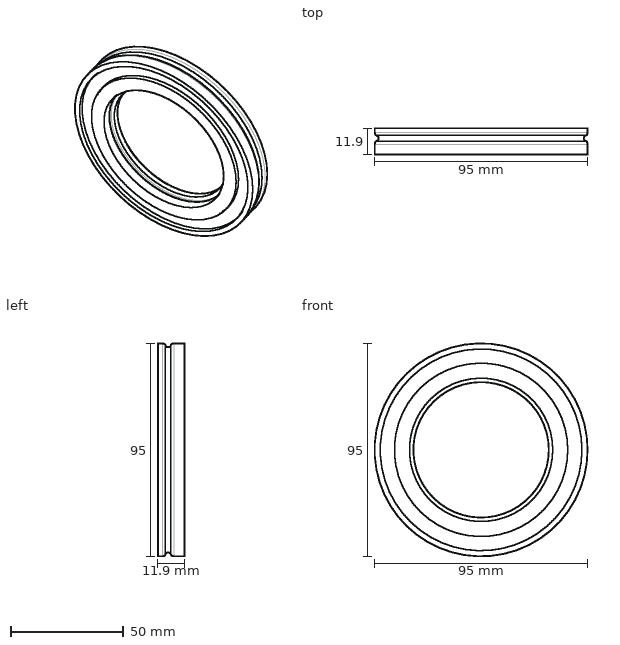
import cadquery as cq

outer_diameter = 95.0
width = 11.9
front_y = -width / 2

seat_diameter = 63.8
seat_depth = 5.6
lip_diameter = 60.2
lip_width = 2.7
back_counterbore_diameter = 70.1
back_counterbore_depth = width - seat_depth - lip_width

relief_radius = 0.6

recess_inner_diameter = 77.2
recess_outer_diameter = 89.9
recess_depth = 2.0

rim_groove_start = 4.75
rim_groove_width = 5.1
rim_groove_depth = 1.7
shoulder_width = 1.3
shoulder_drop = 0.7
shoulder_bulge = 0.2


def disc(diameter, start_depth, length):
    """Cylinder about the Y axis, starting at a depth behind the front face."""
    plane = cq.Workplane("XZ", origin=(0, front_y + start_depth, 0))
    return plane.circle(diameter / 2).extrude(-length)


def washer(outer, inner, start_depth, length):
    """Flat ring about the Y axis."""
    return disc(outer, start_depth, length).cut(disc(inner, start_depth, length))


def rim_groove():
    """Ring-shaped cutter: convex shoulders on both sides of a concave bottom."""
    radius = outer_diameter / 2
    start = front_y + rim_groove_start
    end = start + rim_groove_width
    middle = (start + end) / 2
    shoulder_radius = radius - shoulder_drop
    shoulder_middle_radius = radius - shoulder_drop / 2 + shoulder_bulge
    profile = (
        cq.Workplane("XY")
        .moveTo(radius, start)
        .threePointArc(
            (shoulder_middle_radius, start + shoulder_width / 2),
            (shoulder_radius, start + shoulder_width),
        )
        .threePointArc(
            (radius - rim_groove_depth, middle),
            (shoulder_radius, end - shoulder_width),
        )
        .threePointArc(
            (shoulder_middle_radius, end - shoulder_width / 2),
            (radius, end),
        )
        .lineTo(radius + rim_groove_depth, end)
        .lineTo(radius + rim_groove_depth, start)
        .close()
    )
    return profile.revolve(360, (0, 0, 0), (0, 1, 0))


def relief_groove():
    """Round-section ring centred on the seat wall, tangent to the lip face."""
    relief_y = front_y + seat_depth - relief_radius
    section = cq.Workplane("XY").center(seat_diameter / 2, relief_y).circle(relief_radius)
    return section.revolve(360, (-seat_diameter / 2, 0, 0), (-seat_diameter / 2, 1, 0))


def bore():
    """Seat, relief groove, lip and back counterbore as one cutter."""
    seat = disc(seat_diameter, 0, seat_depth)
    lip = disc(lip_diameter, 0, width)
    counterbore = disc(back_counterbore_diameter, width - back_counterbore_depth, back_counterbore_depth)
    return lip.union(seat).union(relief_groove()).union(counterbore)


front_recess = washer(recess_outer_diameter, recess_inner_diameter, 0, recess_depth)

result = disc(outer_diameter, 0, width).cut(bore()).cut(front_recess).cut(rim_groove())